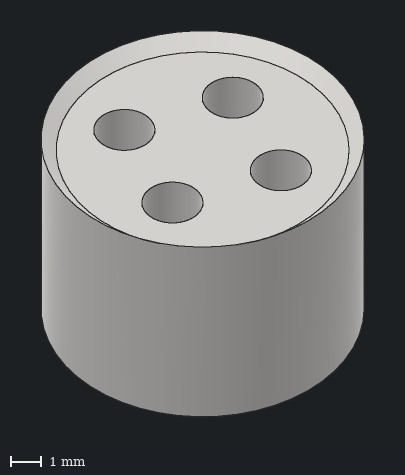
import cadquery as cq

body_diameter = 10.6
body_height = 7.5

recess_floor_diameter = 9.6
recess_depth = 0.5

hole_count = 4
hole_diameter = 2.0
hole_circle_radius = 2.75


def make_body():
    return cq.Workplane("XY").circle(body_diameter / 2).extrude(body_height)


def make_recess():
    """Cone frustum from the recess floor up to the rim."""
    floor_height = body_height - recess_depth
    return (
        cq.Workplane("XY")
        .workplane(offset=floor_height)
        .circle(recess_floor_diameter / 2)
        .workplane(offset=recess_depth)
        .circle(body_diameter / 2)
        .loft(ruled=True)
    )


def make_holes():
    return (
        cq.Workplane("XY")
        .polarArray(hole_circle_radius, 0, 360, hole_count)
        .circle(hole_diameter / 2)
        .extrude(body_height)
    )


result = make_body().cut(make_recess()).cut(make_holes())